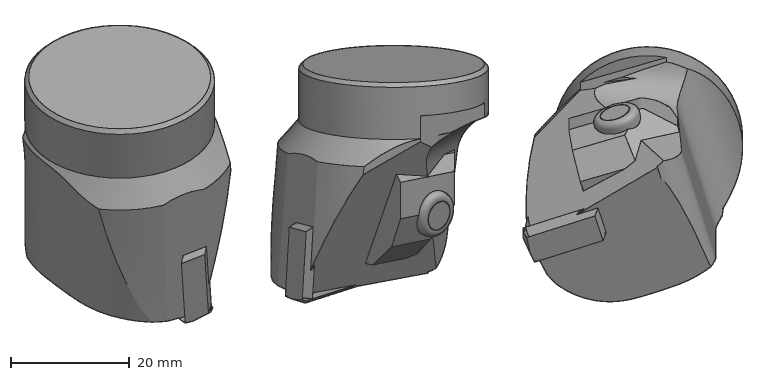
import cadquery as cq
import math

CAP_RADIUS = 16.0
CAP_BOTTOM = -9.65
CAP_CHAMFER = 0.7

FLARE_RADIUS = 19.55
FLARE_BOTTOM = -13.75
SKIRT_RADIUS = 21.65
BODY_DEPTH = 39.9

OUTLINE_LEFT_X = -10.65
OUTLINE_RIGHT_X = 23.55
BACK_TANGENT_POINT = (6.5, 14.63)
FRONT_CURVE = [
    (-6.08, -15.35),
    (-0.75, -16.45),
    (4.18, -16.55),
    (8.55, -16.38),
    (12.55, -15.28),
    (16.55, -12.6),
    (20.03, -7.95),
]
LEFT_X = -7.52
LEFT_ROLL_RADIUS = 8.0
LEFT_ROLL_Z = -14.82
BOTTOM_Z = -35.45
BOTTOM_SLOPE_X = -0.085
BOTTOM_SLOPE_Y = -0.11
RIGHT_X = 18.15
RIGHT_SLOPE_Y = 0.14
RIGHT_SLOPE_Z = -0.08
BOTTOM_ROUND_START = (LEFT_X, -30.4)
BOTTOM_ROUND_MIDDLE = (-6.45, -33.3)
BOTTOM_ROUND_END = (-3.23, -35.5)

BACK_FLAT_Y = 14.1
BACK_STEP_Z = -5.75
BACK_TAPER_Z = -12.1
BACK_TAPER = 0.45
BACK_SWEEP = 0.22
BACK_RIDGE_X = 3.8
BACK_CORNER_Y = 7.68
BACK_CORNER_LEAN = 8.6
BACK_CORNER_ANGLE = 112.0

HUMP_LEFT = -7.45
HUMP_RIGHT = 10.25
HUMP_Y = 11.97
HUMP_INNER_Y = 3.05
HUMP_PROFILE = [
    (HUMP_INNER_Y, -14.45),
    (9.88, -14.45),
    (HUMP_Y, -17.1),
    (HUMP_Y, -23.37),
    (9.88, -28.5),
    (5.32, -32.3),
    (HUMP_INNER_Y, -32.3),
]
HUMP_CORNER_Z = -20.15
HUMP_BREAK_Z = -22.8
HUMP_FACET_X = -14.55
HUMP_ROUND = 1.52
COLLAR_RADIUS = 8.0 / 2
COLLAR_HEIGHT = 1.2
COLLAR_ROUND = 1.05
HOLE_RADIUS = 5.15 / 2
BUTTON_RADIUS = 5.0 / 2
BUTTON_DEPTH = 2.28
BUTTON_X = 1.9
BUTTON_Y = 11.6
BUTTON_Z = -23.75
BUTTON_TILT = 9.0

STRIP_HEIGHT = 0.72
STRIP_SINK = 0.38
STRIP_FRONT_Y = -2.95
STRIP_BACK_Y = 1.75
STRIP_SHEAR = 2.1
STRIP_END_SLOPE = 1.2
STRIP_LEFT_X = 8.35
STRIP_RIGHT_X = 22.8
STRIP_CORNER = (21.5, -37.7)
STRIP_TOP_Z = -24.9
STRIP_BOTTOM_Z = -39.15

BIG = 114.0


def half_space(point, normal):
    """Large block filling the side of a plane that the normal points to."""
    plane = cq.Plane(origin=point, normal=normal)
    return cq.Workplane(plane).rect(BIG, BIG).extrude(BIG / 2)


def bottom_z(x, y):
    return BOTTOM_Z + BOTTOM_SLOPE_X * x + BOTTOM_SLOPE_Y * y


def right_x(y, z):
    return RIGHT_X + RIGHT_SLOPE_Y * y + RIGHT_SLOPE_Z * z


def make_cap():
    cap = cq.Workplane("XY").circle(CAP_RADIUS).extrude(CAP_BOTTOM)
    return cap.faces(">Z").chamfer(CAP_CHAMFER)


def make_lower_body():
    outline = (
        cq.Workplane("XY").workplane(offset=CAP_BOTTOM)
        .moveTo(OUTLINE_LEFT_X, -12.73)
        .spline(FRONT_CURVE, includeCurrent=True)
        .lineTo(OUTLINE_RIGHT_X, -3.05)
        .lineTo(OUTLINE_RIGHT_X, 6.85)
        .lineTo(*BACK_TANGENT_POINT)
        .lineTo(OUTLINE_LEFT_X, 11.78)
        .close()
        .extrude(-BODY_DEPTH - CAP_BOTTOM)
    )
    skirt = (
        cq.Workplane("XZ")
        .polyline([
            (0, CAP_BOTTOM),
            (CAP_RADIUS, CAP_BOTTOM),
            (FLARE_RADIUS, FLARE_BOTTOM),
            (SKIRT_RADIUS, -BODY_DEPTH),
            (0, -BODY_DEPTH),
        ])
        .close()
        .revolve(360, (0, 0), (0, 1))
    )
    return outline.intersect(skirt)


def roll_cutter(wall_x):
    """Cutter with a flat wall on its +X side that curls away below the cap."""
    roll_x = wall_x - LEFT_ROLL_RADIUS
    roll_top = LEFT_ROLL_Z + LEFT_ROLL_RADIUS
    diagonal = LEFT_ROLL_RADIUS * math.sqrt(0.5)
    return (
        cq.Workplane("XZ")
        .moveTo(wall_x, -BIG / 2)
        .lineTo(wall_x, LEFT_ROLL_Z)
        .threePointArc((roll_x + diagonal, LEFT_ROLL_Z + diagonal), (roll_x, roll_top))
        .lineTo(roll_x - BIG / 4, roll_top)
        .lineTo(roll_x - BIG / 4, -BIG / 2)
        .close()
        .extrude(BIG / 2, both=True)
    )


def cut_left_and_bottom(body):
    body = body.cut(roll_cutter(LEFT_X))
    slope = (BOTTOM_SLOPE_X, BOTTOM_SLOPE_Y, -1)
    body = body.cut(half_space((0, 0, BOTTOM_Z), slope))
    corner = (
        cq.Workplane("XZ")
        .moveTo(*BOTTOM_ROUND_START)
        .threePointArc(BOTTOM_ROUND_MIDDLE, BOTTOM_ROUND_END)
        .lineTo(BOTTOM_ROUND_END[0], -BODY_DEPTH)
        .lineTo(LEFT_X, -BODY_DEPTH)
        .close()
        .extrude(BIG / 2, both=True)
    )
    return body.cut(corner)


def cut_right(body):
    return body.cut(half_space((RIGHT_X, 0, 0), (1, -RIGHT_SLOPE_Y, -RIGHT_SLOPE_Z)))


def cut_back(body):
    step = cq.Workplane("XY").box(BIG, BIG, BIG, centered=(True, False, False))
    body = body.cut(step.translate((0, BACK_FLAT_Y, BACK_STEP_Z - BIG)))
    body = body.cut(half_space((BACK_RIDGE_X, BACK_FLAT_Y, BACK_TAPER_Z), (BACK_SWEEP, 1, -BACK_TAPER)))
    slanted_wall = (
        roll_cutter(0)
        .rotate((0, 0, LEFT_ROLL_Z), (0, 1, LEFT_ROLL_Z), -BACK_CORNER_LEAN)
        .rotate((0, 0, 0), (0, 0, 1), BACK_CORNER_ANGLE - 180)
        .translate((LEFT_X, BACK_CORNER_Y, 0))
    )
    return body.cut(slanted_wall)


def make_hump():
    hump = (
        cq.Workplane("YZ").workplane(offset=HUMP_LEFT)
        .polyline(HUMP_PROFILE)
        .close()
        .extrude(HUMP_RIGHT - HUMP_LEFT)
    )
    hump = hump.cut(half_space((HUMP_FACET_X, 0, 0), (-1, 1, 0)))
    hump = hump.cut(half_space((HUMP_FACET_X, 0, HUMP_BREAK_Z), (-1, 1, -1)))
    outer_corner = (HUMP_FACET_X + HUMP_Y, HUMP_Y, HUMP_CORNER_Z)
    return hump.edges(cq.selectors.NearestToPointSelector(outer_corner)).fillet(HUMP_ROUND)


def button_cylinder(radius, start, end):
    """Cylinder on the button axis between two distances from the button's base point."""
    tilt = math.radians(BUTTON_TILT)
    axis = cq.Vector(0, math.cos(tilt), -math.sin(tilt))
    centre = cq.Vector(BUTTON_X, BUTTON_Y, BUTTON_Z)
    solid = cq.Solid.makeCylinder(radius, end - start, centre + axis * start, axis)
    return cq.Workplane("XY").newObject([solid])


def make_strip_leg(section, direction):
    points = [cq.Vector(*point) for point in section]
    wire = cq.Wire.makePolygon(points, close=True)
    return cq.Workplane("XY").newObject([cq.Solid.extrudeLinear(wire, [], cq.Vector(*direction))])


def strip_corners():
    """Pairs of y position and height above the carrying face, around one section."""
    outer_shift = -STRIP_SHEAR * STRIP_HEIGHT
    return [
        (STRIP_BACK_Y, -STRIP_SINK),
        (STRIP_FRONT_Y, -STRIP_SINK),
        (STRIP_FRONT_Y + outer_shift, STRIP_HEIGHT),
        (STRIP_BACK_Y + outer_shift, STRIP_HEIGHT),
    ]


def make_strip():
    bottom_section = []
    right_section = []
    for y, height in strip_corners():
        x = STRIP_LEFT_X + STRIP_END_SLOPE * height
        bottom_section.append((x, y, bottom_z(x, y) - height))
        z = STRIP_TOP_Z - STRIP_END_SLOPE * height
        right_section.append((right_x(y, z) + height, y, z))
    length = STRIP_RIGHT_X - STRIP_LEFT_X
    drop = STRIP_BOTTOM_Z - STRIP_TOP_Z
    bottom_leg = make_strip_leg(bottom_section, (length, 0, BOTTOM_SLOPE_X * length))
    right_leg = make_strip_leg(right_section, (RIGHT_SLOPE_Z * drop, 0, drop))
    strip = bottom_leg.union(right_leg)
    right_normal = (1, -RIGHT_SLOPE_Y, -RIGHT_SLOPE_Z)
    strip = strip.cut(half_space((RIGHT_X + STRIP_HEIGHT, 0, 0), right_normal))
    bottom_normal = (BOTTOM_SLOPE_X, BOTTOM_SLOPE_Y, -1)
    strip = strip.cut(half_space((0, 0, BOTTOM_Z - STRIP_HEIGHT), bottom_normal))
    bottom_end = (STRIP_SHEAR * BOTTOM_SLOPE_X, 1 + STRIP_SHEAR * BOTTOM_SLOPE_Y, -STRIP_SHEAR)
    strip = strip.cut(half_space((0, STRIP_BACK_Y, bottom_z(0, STRIP_BACK_Y)), bottom_end))
    right_end = (STRIP_SHEAR, 1 - STRIP_SHEAR * RIGHT_SLOPE_Y, -STRIP_SHEAR * RIGHT_SLOPE_Z)
    strip = strip.cut(half_space((right_x(STRIP_BACK_Y, 0), STRIP_BACK_Y, 0), right_end))
    bevel_x, bevel_z = STRIP_CORNER
    return strip.cut(half_space((bevel_x, 0, bevel_z), (1, 0, -1)))


def make_housing():
    body = make_cap().union(make_lower_body())
    body = cut_left_and_bottom(body)
    body = cut_right(body)
    body = cut_back(body)
    body = body.union(make_hump())
    collar = button_cylinder(COLLAR_RADIUS, -BUTTON_DEPTH, COLLAR_HEIGHT)
    body = body.union(collar.faces(">Y").edges().fillet(COLLAR_ROUND))
    body = body.cut(button_cylinder(HOLE_RADIUS, -BUTTON_DEPTH, COLLAR_HEIGHT))
    return body.union(make_strip())


def make_button():
    return button_cylinder(BUTTON_RADIUS, -BUTTON_DEPTH, COLLAR_HEIGHT)


housing = make_housing()
button = make_button()
result = cq.Compound.makeCompound([housing.val(), button.val()])